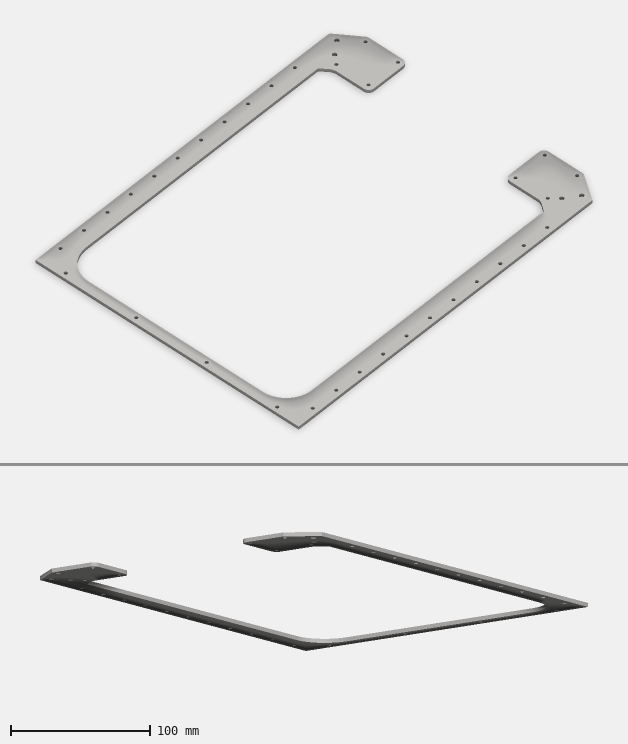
import cadquery as cq

width = 255.0
length = 330.0
thickness = 3.0
half_width = width / 2
half_length = length / 2

side_rail = 18.0
bottom_rail = 9.2
bottom_fillet = 25.0

pad_width = 61.7
pad_length = 41.2
pad_corner_fillet = 5.0
outer_bevel_x = 22.8
outer_bevel_y = 16.0
inner_bevel_x = 9.0
inner_bevel_y = 6.5
inner_bevel_fillet = 10.0

small_hole = 3.0
large_hole = 4.0
edge_offset = 4.5
pad_hole_inset = 25.0
pad_hole_pitch = 31.5
large_hole_insets = [(9.0, 17.5), (17.5, 29.5)]
rail_hole_offset = 5.3
rail_hole_count = 11
rail_hole_pitch = 25.0
first_rail_hole = 58.5
bottom_hole_count = 4

inner_x = half_width - side_rail
pad_x = half_width - pad_width
pad_y = half_length - pad_length
floor_y = -half_length + bottom_rail

half_frame = (
    cq.Workplane("XY")
    .moveTo(0, -half_length)
    .lineTo(half_width, -half_length)
    .lineTo(half_width, half_length - outer_bevel_y)
    .lineTo(half_width - outer_bevel_x, half_length)
    .lineTo(pad_x, half_length)
    .lineTo(pad_x, pad_y)
    .lineTo(inner_x - inner_bevel_x, pad_y)
    .lineTo(inner_x, pad_y - inner_bevel_y)
    .lineTo(inner_x, floor_y)
    .lineTo(0, floor_y)
    .close()
    .extrude(thickness)
)


def vertical_edge(x, y):
    """Select the vertical edge passing through (x, y)."""
    return cq.selectors.NearestToPointSelector((x, y, thickness / 2))


half_frame = half_frame.edges(vertical_edge(inner_x, floor_y)).fillet(bottom_fillet)
half_frame = half_frame.edges(vertical_edge(inner_x - inner_bevel_x, pad_y)).fillet(inner_bevel_fillet)
for corner_y in (pad_y, half_length):
    half_frame = half_frame.edges(vertical_edge(pad_x, corner_y)).fillet(pad_corner_fillet)

frame = half_frame.union(half_frame.mirror("YZ")).clean()

small_points = []
large_points = []
for side in (-1, 1):
    for column in range(2):
        for row in range(2):
            x = half_width - pad_hole_inset - column * pad_hole_pitch
            y = half_length - edge_offset - row * pad_hole_pitch
            small_points.append((side * x, y))
    for index in range(rail_hole_count):
        y = half_length - first_rail_hole - index * rail_hole_pitch
        small_points.append((side * (half_width - rail_hole_offset), y))
    for inset_x, inset_y in large_hole_insets:
        large_points.append((side * (half_width - inset_x), half_length - inset_y))

bottom_hole_x = half_width - pad_hole_inset
bottom_hole_pitch = 2 * bottom_hole_x / (bottom_hole_count - 1)
for index in range(bottom_hole_count):
    small_points.append((-bottom_hole_x + index * bottom_hole_pitch, -half_length + edge_offset))


def drill(body, points, diameter):
    """Cut through holes at the given plate positions."""
    cutters = cq.Workplane("XY").pushPoints(points).circle(diameter / 2).extrude(thickness)
    return body.cut(cutters)


frame = drill(frame, small_points, small_hole)
result = drill(frame, large_points, large_hole)